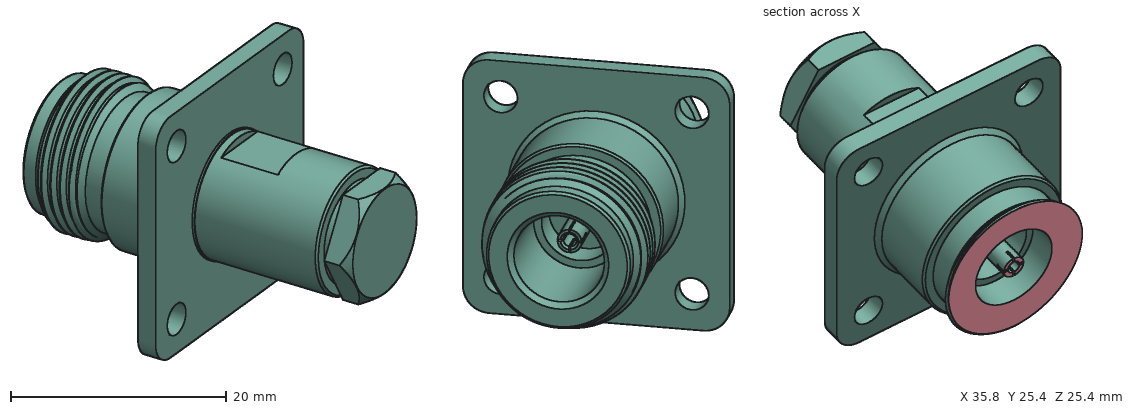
import cadquery as cq
import math


TOTAL_LENGTH = 35.78

BARREL_DIA = 13.7
BARREL_CHAMFER = 0.25
THREAD_START = 1.55
THREAD_END = 7.05
THREAD_DIA = 15.9
THREAD_DEPTH = 0.55
THREAD_PITCH = 1.05
THREAD_CREST = 0.1
THREAD_FLANK_ANGLE = 30.0
THREAD_FIRST_CREST = 3.1
ROOT_OVERLAP = 0.1

BODY_START = 9.37
BODY_DIA = THREAD_DIA
BODY_CHAMFER = 0.2
SKIRT_DIA = 16.9

FLANGE_START = 16.65
FLANGE_THICKNESS = 1.97
FLANGE_SIDE = 25.4
FLANGE_CORNER_RADIUS = 2.5
MOUNT_HOLE_DIA = 3.2
MOUNT_HOLE_SPACING = 18.2

REAR_COLLAR_DIA = 12.88
REAR_COLLAR_LENGTH = 0.25
SLEEVE_DIA = 12.7
SLEEVE_END = 32.38
SLEEVE_CHAMFER = 0.2
WRENCH_SIZE = 11.05
FLAT_START = 19.68
FLAT_LENGTH = 6.25

NECK_DIA = 10.35
NUT_START = 33.2
NUT_CHAMFER = 0.9

MOUTH_DIA = 9.65
SOCKET_DIA = 8.62
SOCKET_DEPTH = 9.12
INNER_BORE_DIA = 7.12
INNER_BORE_DEPTH = 12.15
CONTACT_DIA = 2.3
CONTACT_TIP = 5.0
CONTACT_HOLE_DIA = 1.25
CONTACT_LEAD_IN_DIA = 1.7
CONTACT_LEAD_IN_ANGLE = 90
CONTACT_HOLE_DEPTH = 2.85
CONTACT_SLOT_WIDTH = 0.18
CONTACT_SLOT_DEPTH = 2.15

FLANGE_END = FLANGE_START + FLANGE_THICKNESS


def cylinder(dia, start, end):
    """Solid cylinder on the X axis from x = start to x = end."""
    return cq.Workplane("YZ", origin=(start, 0, 0)).circle(dia / 2).extrude(end - start)


def cone(start_dia, end_dia, start, end):
    """Solid cone frustum on the X axis from x = start to x = end."""
    origin = cq.Vector(start, 0, 0)
    axis = cq.Vector(1, 0, 0)
    return cq.Workplane(obj=cq.Solid.makeCone(start_dia / 2, end_dia / 2, end - start, origin, axis))


def coned_cylinder(dia, start, end):
    """Cylinder whose ends slope at 45 degrees down to the barrel surface."""
    return cylinder(dia, start, end).edges().chamfer((dia - BARREL_DIA) / 2)


def make_thread():
    """Right-hand helical ridge on a root cylinder, coned off at both ends."""
    crest_radius = THREAD_DIA / 2
    root_radius = crest_radius - THREAD_DEPTH
    base_radius = root_radius - ROOT_OVERLAP
    half_crest = THREAD_CREST / 2
    flank_run = (crest_radius - base_radius) * math.tan(math.radians(THREAD_FLANK_ANGLE))
    half_base = half_crest + flank_run

    helix_start = THREAD_FIRST_CREST - 2 * THREAD_PITCH
    turns = math.ceil((THREAD_END - helix_start) / THREAD_PITCH) + 1
    helix = cq.Wire.makeHelix(THREAD_PITCH, turns * THREAD_PITCH, base_radius)
    ridge = (
        cq.Workplane("XZ")
        .moveTo(base_radius, -half_base)
        .lineTo(crest_radius, -half_crest)
        .lineTo(crest_radius, half_crest)
        .lineTo(base_radius, half_base)
        .close()
        .sweep(cq.Workplane(obj=helix), isFrenet=True)
        .rotate((0, 0, 0), (0, 1, 0), 90)
        .translate((helix_start, 0, 0))
    )
    ridge_end = helix_start + turns * THREAD_PITCH
    root = cylinder(2 * root_radius, helix_start - THREAD_PITCH, ridge_end + THREAD_PITCH)
    envelope = coned_cylinder(THREAD_DIA + 2 * ROOT_OVERLAP, THREAD_START, THREAD_END)
    return root.union(ridge).intersect(envelope)


def make_front():
    """Barrel, body and the 45 degree skirt against the flange."""
    barrel = cylinder(BARREL_DIA, 0, BODY_START).faces("<X").chamfer(BARREL_CHAMFER)
    body = cylinder(BODY_DIA, BODY_START, FLANGE_START).faces("<X").chamfer(BODY_CHAMFER)
    skirt_length = (SKIRT_DIA - BODY_DIA) / 2
    skirt = cone(BODY_DIA, SKIRT_DIA, FLANGE_START - skirt_length, FLANGE_START)
    return barrel.union(body).union(skirt)


def make_flange():
    """Square plate with rounded corners and four mounting holes."""
    return (
        cq.Workplane("YZ", origin=(FLANGE_START, 0, 0))
        .rect(FLANGE_SIDE, FLANGE_SIDE)
        .extrude(FLANGE_THICKNESS)
        .edges("|X")
        .fillet(FLANGE_CORNER_RADIUS)
        .faces("<X")
        .workplane(centerOption="CenterOfBoundBox")
        .rect(MOUNT_HOLE_SPACING, MOUNT_HOLE_SPACING, forConstruction=True)
        .vertices()
        .hole(MOUNT_HOLE_DIA)
    )


def make_rear():
    """Low collar, sleeve with flats facing +Z and -Z, and the neck."""
    collar = cylinder(REAR_COLLAR_DIA, FLANGE_END, FLANGE_END + REAR_COLLAR_LENGTH)
    sleeve = cylinder(SLEEVE_DIA, FLANGE_END, SLEEVE_END).faces(">X").chamfer(SLEEVE_CHAMFER)
    for side in (1, -1):
        flat_cut = cq.Workplane("XY").box(FLAT_LENGTH, SLEEVE_DIA, SLEEVE_DIA).translate(
            (FLAT_START + FLAT_LENGTH / 2, 0, side * (WRENCH_SIZE + SLEEVE_DIA) / 2)
        )
        sleeve = sleeve.cut(flat_cut)
    neck = cylinder(NECK_DIA, SLEEVE_END, NUT_START)
    return collar.union(sleeve).union(neck)


def make_nut():
    """Hexagon with corners on the Y axis, its outer end turned to a cone."""
    corner_dia = WRENCH_SIZE / math.cos(math.radians(30))
    hexagon = (
        cq.Workplane("YZ", origin=(NUT_START, 0, 0))
        .polygon(6, corner_dia)
        .extrude(TOTAL_LENGTH - NUT_START)
    )
    turned = cylinder(corner_dia, NUT_START, TOTAL_LENGTH).faces(">X").chamfer(NUT_CHAMFER)
    return hexagon.intersect(turned)


def make_socket():
    """Stepped bore with a chamfered mouth."""
    mouth_depth = (MOUTH_DIA - SOCKET_DIA) / 2
    mouth = cone(MOUTH_DIA, SOCKET_DIA, 0, mouth_depth)
    bore = cylinder(SOCKET_DIA, 0, SOCKET_DEPTH)
    inner_bore = cylinder(INNER_BORE_DIA, SOCKET_DEPTH, INNER_BORE_DEPTH)
    return mouth.union(bore).union(inner_bore)


def make_contact():
    """Center contact with a countersunk hole and four spring slots."""
    contact = (
        cylinder(CONTACT_DIA, CONTACT_TIP, INNER_BORE_DEPTH)
        .faces("<X")
        .workplane(centerOption="CenterOfBoundBox")
        .cskHole(CONTACT_HOLE_DIA, CONTACT_LEAD_IN_DIA, CONTACT_LEAD_IN_ANGLE, CONTACT_HOLE_DEPTH)
    )
    slot_x = CONTACT_TIP + CONTACT_SLOT_DEPTH / 2
    for width, height in ((CONTACT_DIA, CONTACT_SLOT_WIDTH), (CONTACT_SLOT_WIDTH, CONTACT_DIA)):
        slot = cq.Workplane("XY").box(CONTACT_SLOT_DEPTH, width, height).translate((slot_x, 0, 0))
        contact = contact.cut(slot)
    return contact


result = (
    make_front()
    .union(make_thread())
    .union(make_flange())
    .union(make_rear())
    .union(make_nut())
    .cut(make_socket())
    .union(make_contact())
)